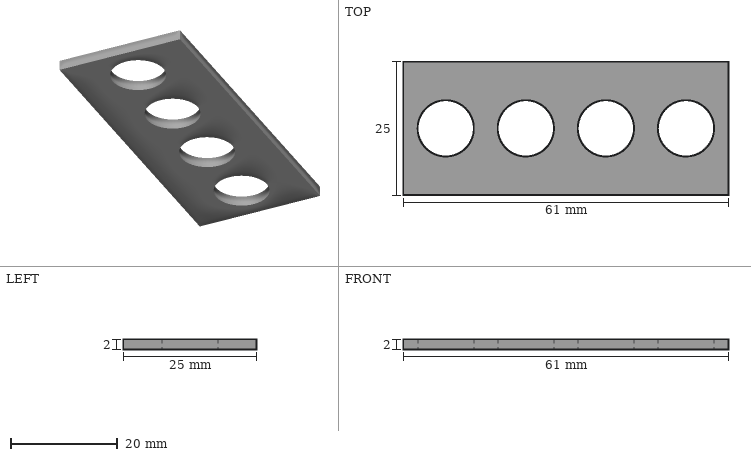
import cadquery as cq

plate_length = 61.0
plate_width = 25.0
plate_thickness = 2.0

hole_diameter = 10.5
hole_count = 4
hole_pitch = 15.0


def make_plate():
    """Flat rectangular plate centred on the origin."""
    return cq.Workplane("XY").box(plate_length, plate_width, plate_thickness)


def cut_hole_row(plate):
    """Cut the evenly spaced row of round holes through the plate."""
    return (
        plate.faces(">Z")
        .workplane()
        .rarray(hole_pitch, hole_pitch, hole_count, 1)
        .hole(hole_diameter)
    )


result = cut_hole_row(make_plate())